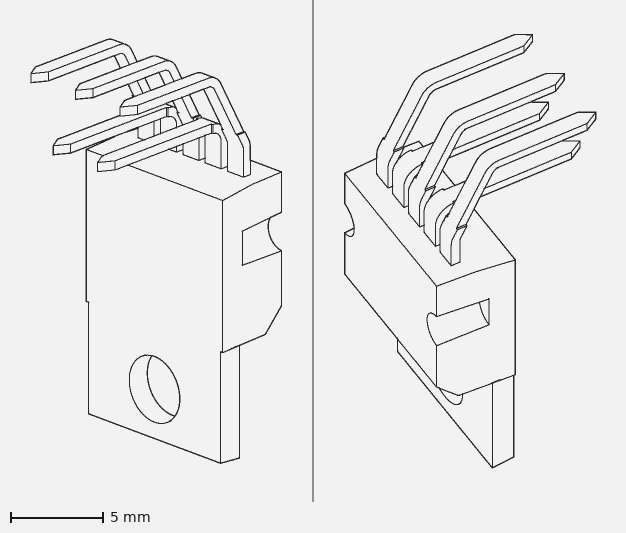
import cadquery as cq
import math


overall_height = 22.23

body_width = 10.4
body_depth = 4.8
body_bottom = 6.6
body_top = 15.72
side_draft = 3.0
top_draft = 5.0
chamfer_depth = 1.33
chamfer_height = 1.3

tab_thickness = 1.4
tab_width = 10.23
tab_draft = 3.0
hole_diameter = 3.85
hole_height = 2.95

notch_height = 12.23
notch_depth = 3.2
notch_radius_back = 1.13
notch_radius_inner = 1.0
notch_outset = 0.11

lead_count = 5
lead_span = 6.8
lead_pitch = lead_span / (lead_count - 1)
lead_thickness = 0.53
lead_width = 1.0
lead_root_width = 1.22
lead_back = 3.33
lead_reach = 6.1
tip_length = 0.85
bend_start = 17.32
long_top = overall_height
long_angle = 28.0
long_radius = 0.53
long_root_top = 18.32
short_radius = 0.65


def prism(plan, profile):
    """Solid with the given (x, y) plan and (y, z) side profile."""
    plan_solid = cq.Workplane("XY").polyline(plan).close().extrude(overall_height)
    profile_solid = cq.Workplane("YZ").polyline(profile).close().extrude(body_width, both=True)
    return plan_solid.intersect(profile_solid)


def make_body():
    front_x = body_width / 2
    back_x = front_x - body_depth * math.tan(math.radians(side_draft))
    slope_start = body_depth / 2
    front_top = body_top - slope_start * math.tan(math.radians(top_draft))
    plan = [(-front_x, 0), (front_x, 0), (back_x, body_depth), (-back_x, body_depth)]
    profile = [
        (0, body_bottom),
        (body_depth - chamfer_depth, body_bottom),
        (body_depth, body_bottom + chamfer_height),
        (body_depth, body_top),
        (slope_start, body_top),
        (0, front_top),
    ]
    body = prism(plan, profile)
    for side in (-1, 1):
        notch = cq.Solid.makeCone(
            notch_radius_back,
            notch_radius_inner,
            notch_depth,
            pnt=cq.Vector(side * (back_x + notch_outset), body_depth, notch_height),
            dir=cq.Vector(0, -1, 0),
        )
        body = body.cut(cq.Workplane(notch))
    return body


def make_tab():
    taper = tab_thickness * math.tan(math.radians(tab_draft))
    back_x = tab_width / 2
    front_x = back_x - taper
    plan = [(-front_x, 0), (front_x, 0), (back_x, tab_thickness), (-back_x, tab_thickness)]
    profile = [(0, taper), (tab_thickness, 0), (tab_thickness, body_bottom), (0, body_bottom)]
    hole = (
        cq.Workplane("XZ")
        .center(0, hole_height)
        .circle(hole_diameter / 2)
        .extrude(-tab_thickness)
    )
    return prism(plan, profile).cut(hole)


def on_circle(center, radius, degrees):
    """Point (y, z) on a bend circle; 0 degrees faces +Y and 90 degrees faces +Z."""
    angle = math.radians(degrees)
    return (center[0] + radius * math.cos(angle), center[1] + radius * math.sin(angle))


def make_strip(bends, inner_radius, width):
    """Bent strip from the body top to the lead tips; bends are (center, start, end) in degrees."""
    outer_radius = inner_radius + lead_thickness
    top = bends[-1][0][1] + outer_radius
    outline = cq.Workplane("YZ").moveTo(lead_back, body_top)
    for center, start, end in bends:
        outline = outline.lineTo(*on_circle(center, outer_radius, start)).threePointArc(
            on_circle(center, outer_radius, (start + end) / 2),
            on_circle(center, outer_radius, end),
        )
    outline = outline.lineTo(-lead_reach, top).lineTo(-lead_reach, top - lead_thickness)
    for center, start, end in reversed(bends):
        outline = outline.lineTo(*on_circle(center, inner_radius, end)).threePointArc(
            on_circle(center, inner_radius, (start + end) / 2),
            on_circle(center, inner_radius, start),
        )
    outline = outline.lineTo(lead_back - lead_thickness, body_top).close()
    return outline.extrude(width / 2, both=True)


def make_lead(bends, inner_radius, root_front, root_top):
    """Lead with a pointed tip and a wide root behind root_front and below root_top."""
    half = lead_width / 2
    shoulder = tip_length - lead_reach
    plan = [
        (half, body_depth),
        (half, shoulder),
        (0, -lead_reach),
        (-half, shoulder),
        (-half, body_depth),
    ]
    pointed_plan = cq.Workplane("XY").polyline(plan).close().extrude(overall_height)
    root_zone = cq.Workplane("XY").box(
        lead_root_width, body_depth - root_front, root_top, centered=(True, False, False)
    ).translate((0, root_front, 0))
    blade = make_strip(bends, inner_radius, lead_width).intersect(pointed_plan)
    root = make_strip(bends, inner_radius, lead_root_width).intersect(root_zone)
    return blade.union(root)


def make_long_lead():
    """Lead that slopes forward after the first bend and turns level at the top."""
    first = (lead_back - lead_thickness - long_radius, bend_start)
    second_z = long_top - lead_thickness - long_radius
    second_y = first[0] - (second_z - bend_start) * math.tan(math.radians(long_angle))
    bends = [(first, 0, long_angle), ((second_y, second_z), long_angle, 90)]
    return make_lead(bends, long_radius, 0, long_root_top)


def make_short_lead():
    """Lead with a single right-angle bend; its wide root ends where the bend ends."""
    center = (lead_back - lead_thickness - short_radius, bend_start)
    return make_lead([(center, 0, 90)], short_radius, center[0], overall_height)


result = make_body().union(make_tab())
long_lead = make_long_lead()
short_lead = make_short_lead()
for index in range(lead_count):
    lead = long_lead if index % 2 == 0 else short_lead
    result = result.union(lead.translate((index * lead_pitch - lead_span / 2, 0, 0)))